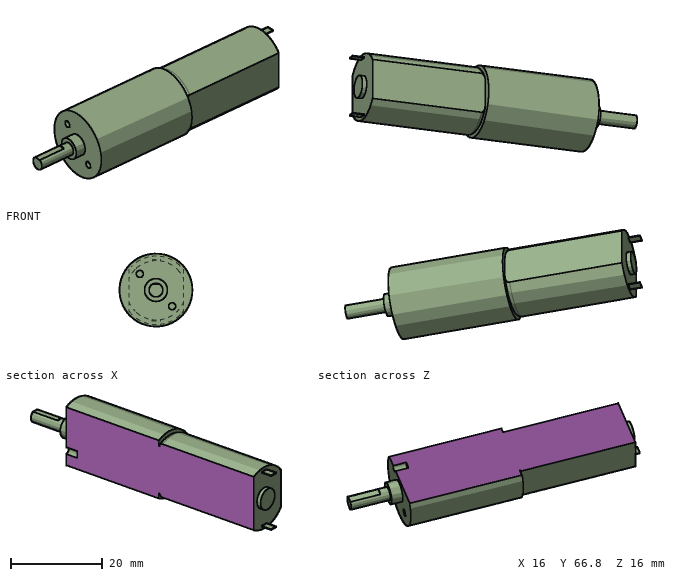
import cadquery as cq
import math

TOTAL_LENGTH = 66.8

GEARBOX_DIAMETER = 16.0
GEARBOX_LENGTH = 26.0
MOUNT_HOLE_DIAMETER = 1.55
MOUNT_HOLE_DEPTH = 3.0
MOUNT_CIRCLE_RADIUS = 5.0
MOUNT_HOLE_ANGLES = (135, 315)

BOSS_DIAMETER = 5.0
FRONT_BOSS_LENGTH = 2.55
SHAFT_DIAMETER = 3.0
SHAFT_LENGTH = 9.0
SHAFT_FLAT_LENGTH = 6.95
SHAFT_FLAT_WIDTH = 1.55

MOTOR_DIAMETER = 15.0
MOTOR_WIDTH = 12.0
MOTOR_LENGTH = 26.6
MOTOR_FRONT_FILLET = 1.0
REAR_BOSS_LENGTH = 1.0

TAB_WIDTH = 1.8
TAB_THICKNESS = 0.2
TAB_OFFSET = 6.6
TAB_EMBED = 0.7

shaft_start = -FRONT_BOSS_LENGTH
shaft_tip = shaft_start - SHAFT_LENGTH
motor_rear = GEARBOX_LENGTH + MOTOR_LENGTH
tab_tip = TOTAL_LENGTH + shaft_tip


def cylinder(diameter, start, end):
    """Solid cylinder on the Y axis between two positions."""
    return cq.Workplane("XZ", origin=(0, start, 0)).circle(diameter / 2).extrude(start - end)


def block(width, start, end, height, middle_z):
    """Box centred on X, spanning two positions along Y."""
    centre = (0, (start + end) / 2, middle_z)
    return cq.Workplane("XY", origin=centre).box(width, end - start, height)


def make_gearbox():
    body = cylinder(GEARBOX_DIAMETER, 0, GEARBOX_LENGTH)
    for angle in MOUNT_HOLE_ANGLES:
        x = MOUNT_CIRCLE_RADIUS * math.cos(math.radians(angle))
        z = MOUNT_CIRCLE_RADIUS * math.sin(math.radians(angle))
        hole = cylinder(MOUNT_HOLE_DIAMETER, 0, MOUNT_HOLE_DEPTH).translate((x, 0, z))
        body = body.cut(hole)
    return body


def make_shaft():
    shaft = cylinder(SHAFT_DIAMETER, shaft_tip, 0)
    flat_z = math.sqrt((SHAFT_DIAMETER / 2) ** 2 - (SHAFT_FLAT_WIDTH / 2) ** 2)
    flat_cut = block(
        SHAFT_DIAMETER, shaft_tip, shaft_tip + SHAFT_FLAT_LENGTH, SHAFT_DIAMETER, flat_z + SHAFT_DIAMETER / 2
    )
    return shaft.cut(flat_cut)


def make_motor():
    can = cylinder(MOTOR_DIAMETER, GEARBOX_LENGTH, motor_rear)
    can = can.faces("<Y").edges().fillet(MOTOR_FRONT_FILLET)
    return can.intersect(block(MOTOR_WIDTH, GEARBOX_LENGTH, motor_rear, MOTOR_DIAMETER, 0))


result = make_gearbox()
result = result.union(cylinder(BOSS_DIAMETER, shaft_start, 0))
result = result.union(make_shaft())
result = result.union(make_motor())
result = result.union(cylinder(BOSS_DIAMETER, motor_rear, motor_rear + REAR_BOSS_LENGTH))
for side in (-1, 1):
    tab = block(TAB_WIDTH, motor_rear - TAB_EMBED, tab_tip, TAB_THICKNESS, side * TAB_OFFSET)
    result = result.union(tab)